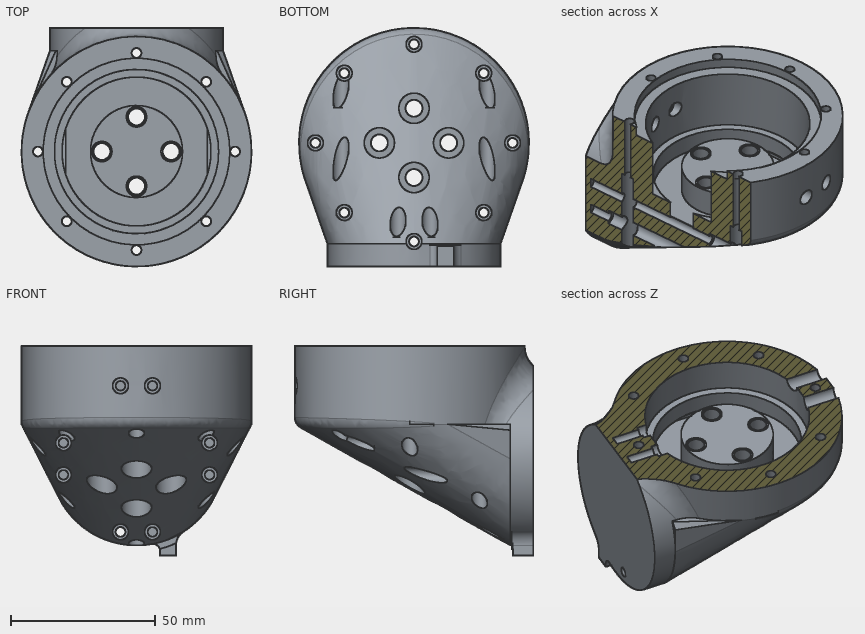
import cadquery as cq
import math

housing_radius = 39.9
housing_height = 27.2
shoulder_fillet = 4.1
shoulder_fillet_end_y = 8.3

flange_radius = 30.1
flange_center_z = -39.2
flange_front_y = 34.95
flange_back_y = 42.9
flange_fillet = 8.9

web_setback = 2.1
web_drop = 2.1

recess_radius = 32.4
recess_depth = 3.5
bore_radius = 28.5
bore_depth = 25.4
pocket_radius = 25.8
pocket_depth = 32.1
boss_radius = 16.0
boss_top_depth = 22.1

screw_diameter = 3.3
head_diameter = 5.5
rim_bolt_circle_radius = 34.2
rim_screw_count = 8
rim_head_depth = 23.2
flange_bolt_near = 5.55
flange_bolt_far = 25.3
flange_head_seat_y = 32.7
side_head_seat_y = -12.25
wall_head_seat_y = 30.6
flange_screw_end_y = 40.6

boss_bolt_circle_radius = 12.0
boss_hole_count = 4
boss_hole_diameter = 5.8
boss_rim_diameter = 7.0
boss_rim_depth = 0.2
boss_head_diameter = 10.5
boss_head_depth = 38.1

tab_left_x = 8.1
tab_right_x = 13.75
tab_front_y = 35.45
tab_bottom_z = -72.7
tab_left_fillet = 2.3
tab_right_fillet = 5.55
tab_lip_radius = 32.3
tab_lip_height = 0.3

hull_samples = 12
below_part = -99.4
beyond_part = 66.25
half_space = 58.0


def upright_cylinder(radius, z_low, z_high, x=0.0, y=0.0):
    """Cylinder along Z between two heights."""
    return cq.Workplane("XY", origin=(x, y, z_low)).circle(radius).extrude(z_high - z_low)


def lying_cylinder(radius, y_front, y_back, x, z):
    """Cylinder along Y between two depths."""
    return cq.Workplane("XZ", origin=(x, y_front, z)).circle(radius).extrude(y_front - y_back)


def block(x_low, x_high, y_low, y_high, z_low, z_high):
    size = (x_high - x_low, y_high - y_low, z_high - z_low)
    return cq.Workplane("XY", origin=(x_low, y_low, z_low)).box(*size, centered=False)


def flange_partner(angle):
    """Flange point sharing a tangent plane with the housing's bottom circle at this angle."""
    drop = -flange_center_z - housing_height
    side = math.cos(angle)
    reach = housing_radius - flange_front_y * math.sin(angle)
    spread = flange_radius**2 - drop**2
    root = max(reach**2 - spread * side**2, 0.0)
    slope = (reach * drop - flange_radius * math.sqrt(root)) / spread
    scale = flange_radius / math.hypot(side, slope)
    return cq.Vector(side * scale, flange_front_y, flange_center_z + slope * scale)


def make_hull():
    """Solid wrapped tightly around the housing's bottom circle and the flange circle."""
    corner_distance = math.hypot(flange_radius, flange_front_y)
    end_angle = math.atan2(flange_front_y, flange_radius) - math.acos(housing_radius / corner_distance)
    start_angle = -math.pi - end_angle
    step = (end_angle - start_angle) / hull_samples
    angles = [start_angle + i * step for i in range(hull_samples + 1)]

    def housing_point(angle):
        return cq.Vector(
            housing_radius * math.cos(angle), housing_radius * math.sin(angle), -housing_height
        )

    up_l, front, up_r = [housing_point(a) for a in (start_angle, -math.pi / 2, end_angle)]
    low_l, low_r = flange_partner(start_angle), flange_partner(end_angle)
    shelf_x = flange_radius - web_setback
    shelf_l = cq.Vector(-shelf_x, flange_front_y, -housing_height)
    shelf_r = cq.Vector(shelf_x, flange_front_y, -housing_height)
    web_l = cq.Vector(-flange_radius, flange_front_y, -housing_height - web_drop)
    web_r = cq.Vector(flange_radius, flange_front_y, -housing_height - web_drop)
    upper = cq.Edge.makeThreePointArc(up_l, front, up_r)
    lower = cq.Edge.makeSpline([flange_partner(a) for a in angles], parameters=angles)

    def flat(arc, *corners):
        sides = [cq.Edge.makeLine(a, b) for a, b in zip(corners, corners[1:])]
        return cq.Face.makeFromWires(cq.Wire.assembleEdges([*arc, *sides]))

    faces = [
        cq.Face.makeRuledSurface(upper, lower),
        flat([upper], up_r, shelf_r, shelf_l, up_l),
        flat([lower], low_r, web_r, shelf_r, shelf_l, web_l, low_l),
        flat([], up_l, web_l, shelf_l, up_l),
        flat([], up_r, web_r, shelf_r, up_r),
        flat([], up_l, low_l, web_l, up_l),
        flat([], up_r, low_r, web_r, up_r),
    ]
    return cq.Workplane(cq.Solid.makeSolid(cq.Shell.makeShell(faces)))


def make_cup_body():
    """Housing cylinder on top of the hull, with the front of the shoulder rounded."""
    housing = upright_cylinder(housing_radius, -housing_height, 0)
    body = housing.rotate((0, 0, 0), (0, 0, 1), 90).union(make_hull())
    front_space = block(-half_space, half_space, -half_space, shoulder_fillet_end_y, below_part, 0)
    front = body.intersect(front_space)
    shoulder_point = (0, -housing_radius, -housing_height)
    front = front.edges(cq.NearestToPointSelector(shoulder_point)).fillet(shoulder_fillet)
    return body.cut(front_space).union(front)


def make_flange_blend():
    """Upper junction of housing and flange, with a concave fillet cut off at the flange back."""
    housing = upright_cylinder(housing_radius, below_part, beyond_part)
    barrel = lying_cylinder(flange_radius, 0, beyond_part, 0, flange_center_z)
    junction_point = (0, housing_radius, flange_center_z + flange_radius)
    junction = housing.union(barrel)
    junction = junction.edges(cq.NearestToPointSelector(junction_point)).fillet(flange_fillet)
    return junction.intersect(
        block(-half_space, half_space, 0, flange_back_y, -housing_height, 0)
    )


def make_flange():
    """Flange disc with the filleted locating tab on its lower edge."""
    flange = lying_cylinder(flange_radius, flange_front_y, flange_back_y, 0, flange_center_z)
    tab = block(
        tab_left_x, tab_right_x, tab_front_y, flange_back_y, tab_bottom_z, flange_center_z
    )
    flange = flange.union(tab)
    middle_y = (tab_front_y + flange_back_y) / 2
    for x, radius in ((tab_left_x, tab_left_fillet), (tab_right_x, tab_right_fillet)):
        root_z = flange_center_z - math.sqrt(flange_radius**2 - x**2)
        root = cq.NearestToPointSelector((x, middle_y, root_z))
        flange = flange.edges(root).fillet(radius)
    step_y = tab_front_y + tab_lip_height
    step = block(-half_space, half_space, flange_front_y, step_y, below_part, beyond_part)
    lip = lying_cylinder(tab_lip_radius, flange_front_y, step_y, 0, flange_center_z)
    return flange.cut(step.cut(lip))


def make_interior():
    """Stepped cavity with a raised boss on its floor."""
    cavity = upright_cylinder(recess_radius, -recess_depth, 0)
    cavity = cavity.union(upright_cylinder(bore_radius, -bore_depth, 0))
    pocket = upright_cylinder(pocket_radius, -pocket_depth, -bore_depth)
    boss = upright_cylinder(boss_radius, -pocket_depth, -boss_top_depth)
    return cavity.union(pocket).cut(boss)


def make_rim_holes():
    """Screw holes down through the housing wall, with head clearance from below."""
    holes = cq.Workplane("XY")
    for i in range(rim_screw_count):
        angle = 2 * math.pi * i / rim_screw_count
        x = rim_bolt_circle_radius * math.cos(angle)
        y = rim_bolt_circle_radius * math.sin(angle)
        holes = holes.union(upright_cylinder(screw_diameter / 2, below_part, 0, x, y))
        holes = holes.union(upright_cylinder(head_diameter / 2, below_part, -rim_head_depth, x, y))
    return holes


def make_boss_holes():
    """Holes through the boss, with shallow rims on top and wide access bores from below."""
    holes = cq.Workplane("XY")
    rim_bottom = -boss_top_depth - boss_rim_depth
    for i in range(boss_hole_count):
        angle = 2 * math.pi * i / boss_hole_count
        x = boss_bolt_circle_radius * math.cos(angle)
        y = boss_bolt_circle_radius * math.sin(angle)
        holes = holes.union(upright_cylinder(boss_hole_diameter / 2, below_part, 0, x, y))
        holes = holes.union(upright_cylinder(boss_rim_diameter / 2, rim_bottom, 0, x, y))
        holes = holes.union(
            upright_cylinder(boss_head_diameter / 2, below_part, -boss_head_depth, x, y)
        )
    return holes


def make_flange_holes():
    """Screw holes from the front into the flange; the lower left one runs right through."""
    near, far = flange_bolt_near, flange_bolt_far
    pairs = (
        (near, far, wall_head_seat_y),
        (far, near, side_head_seat_y),
        (far, -near, flange_head_seat_y),
        (near, -far, flange_head_seat_y),
    )
    holes = cq.Workplane("XY")
    for across, up, seat_y in pairs:
        z = flange_center_z + up
        for x in (-across, across):
            end_y = beyond_part if (x, up) == (-near, -far) else flange_screw_end_y
            holes = holes.union(lying_cylinder(head_diameter / 2, -half_space, seat_y, x, z))
            holes = holes.union(lying_cylinder(screw_diameter / 2, -half_space, end_y, x, z))
    return holes


result = make_cup_body().union(make_flange_blend()).union(make_flange())
result = result.cut(make_interior())
result = result.cut(make_rim_holes())
result = result.cut(make_boss_holes())
result = result.cut(make_flange_holes())